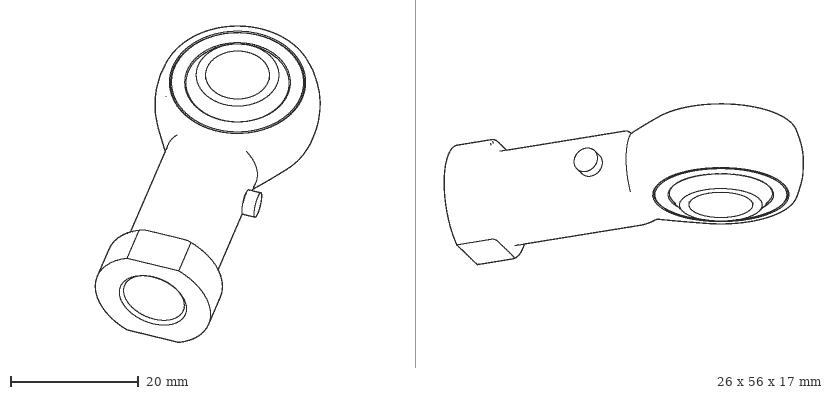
import cadquery as cq
import math


head_radius = 13.0
head_thickness = 10.5
head_edge_fillet = 0.5

total_length = 56.0
shank_diameter = 15.0
neck_end_y = -head_radius
collar_diameter = 19.05
collar_length = 6.5
collar_flats = 17.0
collar_edge_fillet = 0.5
collar_root_fillet = 0.5

bore_diameter = 10.0
bore_depth = 20.0
bore_mouth_diameter = 11.1
bore_tip_angle = 118.0
channel_diameter = 2.0

race_diameter = 21.05
seat_chamfer = 0.15
race_mouth_diameter = 16.6
ball_diameter = 19.1
ball_width = 14.0
ball_bore_diameter = 10.0

nipple_head_diameter = 4.0
nipple_stem_diameter = 3.0
nipple_stem_depth = 1.9
nipple_y = -19.0

half_thickness = head_thickness / 2
shank_radius = shank_diameter / 2
collar_radius = collar_diameter / 2
end_y = head_radius - total_length
collar_y = end_y + collar_length
bore_radius = bore_diameter / 2
channel_radius = channel_diameter / 2


def make_blank():
    """Sphere, tangent cone, shank and collar, revolved about Y."""
    edge_distance = math.hypot(shank_radius, neck_end_y)
    edge_angle = math.atan2(neck_end_y, shank_radius)
    tangent_angle = edge_angle + math.acos(head_radius / edge_distance)
    tangent = (head_radius * math.cos(tangent_angle), head_radius * math.sin(tangent_angle))
    root = collar_root_fillet
    edge = collar_edge_fillet
    bend = math.sqrt(0.5)
    return (
        cq.Workplane("XY")
        .moveTo(0, head_radius)
        .threePointArc((head_radius, 0), tangent)
        .lineTo(shank_radius, neck_end_y)
        .lineTo(shank_radius, collar_y + root)
        .threePointArc(
            (shank_radius + root * (1 - bend), collar_y + root * (1 - bend)),
            (shank_radius + root, collar_y),
        )
        .lineTo(collar_radius - edge, collar_y)
        .threePointArc(
            (collar_radius - edge * (1 - bend), collar_y - edge * (1 - bend)),
            (collar_radius, collar_y - edge),
        )
        .lineTo(collar_radius, end_y)
        .lineTo(0, end_y)
        .close()
        .revolve(360, (0, 0, 0), (0, 1, 0))
    )


def make_flat_cutter():
    """Material above the head's upper face, ending in a 45 degree ramp on the shank."""
    top_z = half_thickness + head_radius
    return (
        cq.Workplane("YZ")
        .moveTo(2 * head_radius, half_thickness)
        .lineTo(neck_end_y, half_thickness)
        .lineTo(neck_end_y - head_radius, top_z)
        .lineTo(2 * head_radius, top_z)
        .close()
        .extrude(head_radius, both=True)
    )


def make_collar_flats():
    """Slab between the two wrench flats, long enough for the whole housing."""
    return cq.Workplane("XY").box(2 * total_length, 2 * total_length, collar_flats)


def make_shank_bore():
    """Chamfered blind bore with a conical tip and a channel to the race."""
    mouth_radius = bore_mouth_diameter / 2
    mouth_depth = mouth_radius - bore_radius
    bore_end_y = end_y + bore_depth
    tip_length = (bore_radius - channel_radius) / math.tan(math.radians(bore_tip_angle / 2))
    return (
        cq.Workplane("XY")
        .moveTo(0, end_y)
        .lineTo(mouth_radius, end_y)
        .lineTo(bore_radius, end_y + mouth_depth)
        .lineTo(bore_radius, bore_end_y)
        .lineTo(channel_radius, bore_end_y + tip_length)
        .lineTo(channel_radius, 0)
        .lineTo(0, 0)
        .close()
        .revolve(360, (0, 0, 0), (0, 1, 0))
    )


def make_nipple():
    """Stem inside the shank and a wider head resting on the shank surface."""
    stem = (
        cq.Workplane("YZ", origin=(shank_radius - nipple_stem_depth, nipple_y, 0))
        .circle(nipple_stem_diameter / 2)
        .extrude(nipple_stem_depth)
    )
    head = (
        cq.Workplane("YZ", origin=(shank_radius, nipple_y, 0))
        .circle(nipple_head_diameter / 2)
        .extrude(collar_radius - shank_radius)
    )
    return stem.union(head)


def make_race_blank():
    """Plain disc that fills the seat in the head."""
    return (
        cq.Workplane("XY", origin=(0, 0, -half_thickness))
        .circle(race_diameter / 2)
        .extrude(head_thickness)
    )


def make_housing():
    """Flattened blank with rounded head edges, race seat, shank bore and nipple seat."""
    upper_cutter = make_flat_cutter()
    body = make_blank().cut(upper_cutter).cut(upper_cutter.mirror("XY"))
    head_faces_and_ramps = body.faces("%PLANE").faces("not |Y")
    body = head_faces_and_ramps.edges().fillet(head_edge_fillet)
    body = body.intersect(make_collar_flats()).cut(make_race_blank())
    seat_rims = body.faces("|Z").edges("%CIRCLE").edges(cq.selectors.RadiusNthSelector(0))
    body = seat_rims.chamfer(seat_chamfer)
    return body.cut(make_shank_bore()).cut(make_nipple())


def make_mouth_cone():
    """45 degree countersink that clears the ball at the upper face of the race."""
    mouth_radius = race_mouth_diameter / 2
    return (
        cq.Workplane("XZ")
        .moveTo(0, half_thickness)
        .lineTo(mouth_radius, half_thickness)
        .lineTo(0, half_thickness - mouth_radius)
        .close()
        .revolve(360, (0, 0, 0), (0, 1, 0))
    )


def make_race():
    """Chamfered ring with a spherical inside."""
    race = make_race_blank().faces("|Z").edges().chamfer(seat_chamfer)
    cone = make_mouth_cone()
    race = race.cut(cone).cut(cone.mirror("XY"))
    return race.cut(cq.Workplane("XY").sphere(ball_diameter / 2))


def make_ball():
    """Truncated ball with a through bore."""
    slab = cq.Workplane("XY").box(ball_diameter, ball_diameter, ball_width)
    bore = cq.Workplane("XY").circle(ball_bore_diameter / 2).extrude(ball_width, both=True)
    return cq.Workplane("XY").sphere(ball_diameter / 2).intersect(slab).cut(bore)


housing = make_housing()
race = make_race()
ball = make_ball()
nipple = make_nipple()

result = cq.Compound.makeCompound([housing.val(), race.val(), ball.val(), nipple.val()])